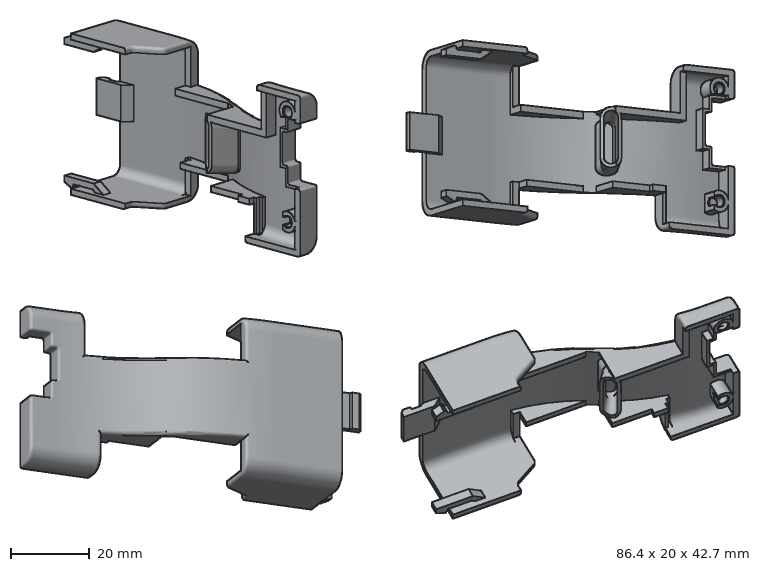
import cadquery as cq
import math

LENGTH_END = 86.4
WIDTH = 42.7
SHELL_LEFT = 6.2
LEFT_DEPTH = 20.0
RIGHT_DEPTH = 6.65
CURVE_START = 25.05
CURVE_END = 78.6

BACK_THICKNESS = 2.0
SIDE_WALL = 1.6
END_WALL = 1.8
LONG_EDGE_RADIUS = 4.2
INNER_EDGE_RADIUS = LONG_EDGE_RADIUS - SIDE_WALL
EDGE_ROUND = 0.9

LEFT_BOX_END = 32.6
NECK_BOTTOM = 9.6
NECK_TOP = 30.4
RIGHT_BOX_LOW_START = 67.1
RIGHT_BOX_HIGH_START = 71.3
MID_Z = WIDTH / 2
LIP_INNER_X = LEFT_BOX_END - END_WALL
LOW_END_INNER_X = RIGHT_BOX_LOW_START + END_WALL
HIGH_END_INNER_X = RIGHT_BOX_HIGH_START + END_WALL
NECK_INNER_LOW = NECK_BOTTOM + SIDE_WALL
NECK_INNER_HIGH = NECK_TOP - END_WALL

FRONT_STEP = 1.55
LEFT_NECK_FRONT = 12.5
NECK_GAP_START = 49.2
NECK_GAP_END = 52.3
BEVEL_FRONT = 5.35
BEVEL_HEIGHT = 1.2
BEVEL_LENGTH = 2.2
LOW_WALL_FRONT = 3.0
LOW_WALL_STEP_X = 63.2
LEFT_LIP_FRONT = 16.3
LOW_END_FRONT = 3.2
LOW_END_REBATE_X = 68.0
LOW_END_REBATE = 1.3

SLOPE_START = 25.3
SLOPE_START_Y = 2.5
SLOPE_END_Y = 6.8
SLOPE_END_ROUND = 1.3

NOTCH_LOW = 17.8
NOTCH_HIGH = 35.2
NOTCH_SHALLOW_X = 80.6
NOTCH_DEEP_X = 78.7
NOTCH_DEEP_LOW = 22.6
NOTCH_DEEP_HIGH = 31.45
NOTCH_WALL = 0.8
NOTCH_ROUND = 0.6

BOSS_X = 81.9
BOSS_LOW_Z = 8.5
BOSS_HIGH_Z = 37.5
BOSS_RADIUS = 2.8
BOSS_BACK = RIGHT_DEPTH - BACK_THICKNESS / 2
BOSS_HOLE_RADIUS = 1.4
BOSS_HOLE_DEPTH = 3.45
BOSS_CHAMFER = 0.3
BOSS_OPEN_X = 80.3
BOSS_SLOT = 2.1
BOSS_SLOT_DEPTH = 2.6

DUCT_LEFT = 51.9
DUCT_WIDTH = 5.1
DUCT_LENGTH = 14.6
DUCT_LOW_Z = 13.9
DUCT_BEND_Y = 8.2
DUCT_BACK_Y = 11.2
MOUTH_LEFT = 49.2
MOUTH_LEFT_Y = 4.2
MOUTH_WIDTH = 5.6
MOUTH_LENGTH = 15.6
MOUTH_LOW_Z = 14.6
MOUTH_TILT = 40.0
DUCT_WALL = 0.95

TONGUE_LOW = 16.4
TONGUE_HIGH = 26.1
TONGUE_FRONT = 15.9
TONGUE_BACK = 17.45
TONGUE_HOOK = 0.8
TONGUE_HOOK_END = 2.7
TONGUE_NOTCH_START = 3.0
TONGUE_NOTCH_END = 5.35
TONGUE_FLAT_END = 8.6
TONGUE_END = 11.0

ARM_FRONT = 1.6
ARM_BACK = 4.2
ARM_INNER = 4.0
ARM_OUTER = 2.3
BARB_PEAK = 1.3
ARM_TIP = 2.3
BARB_PEAK_START = 4.6
BARB_PEAK_END = 5.1
BARB_END = 5.6
ARM_GAP_END = 12.35
ARM_FLARE_START = 12.6
ARM_ROOT = 13.05
ARM_FLARE_END = 16.1

FAR = 172.8


def box(x0, x1, y0, y1, z0, z1):
    """Block between two corners."""
    return cq.Workplane("XY").box(x1 - x0, y1 - y0, z1 - z0, centered=False).translate((x0, y0, z0))


def plan_prism(points, y0, y1):
    """Prism on an outline of (x, z) points, running from y0 to y1."""
    return cq.Workplane("XZ").polyline(points).close().extrude(-(y1 - y0)).translate((0, y0, 0))


def side_body(inset, z0, z1):
    """Solid under the S-curved back, lowered by inset: two equal tangent arcs joined mid-slope."""
    run = (CURVE_END - CURVE_START) / 2
    drop = (LEFT_DEPTH - RIGHT_DEPTH) / 2
    radius = (run**2 + drop**2) / (2 * drop)
    half_angle = math.asin(run / radius) / 2
    dx = radius * math.sin(half_angle)
    dy = radius * (1 - math.cos(half_angle))
    high = LEFT_DEPTH - inset
    low = RIGHT_DEPTH - inset
    middle = (CURVE_START + run, high - drop)
    return (
        cq.Workplane("XY")
        .moveTo(SHELL_LEFT, 0)
        .lineTo(SHELL_LEFT, high)
        .lineTo(CURVE_START, high)
        .threePointArc((CURVE_START + dx, high - dy), middle)
        .threePointArc((CURVE_END - dx, low + dy), (CURVE_END, low))
        .lineTo(LENGTH_END, low)
        .lineTo(LENGTH_END, 0)
        .close()
        .extrude(z1 - z0)
        .translate((0, 0, z0))
    )


def notch_points(grow):
    """Outline of the stepped notch in the right end, enlarged by grow."""
    shallow = NOTCH_SHALLOW_X - grow
    deep = NOTCH_DEEP_X - grow
    return [
        (FAR, NOTCH_LOW - grow),
        (shallow, NOTCH_LOW - grow),
        (shallow, NOTCH_DEEP_LOW - grow),
        (deep, NOTCH_DEEP_LOW - grow),
        (deep, NOTCH_DEEP_HIGH + grow),
        (shallow, NOTCH_DEEP_HIGH + grow),
        (shallow, NOTCH_HIGH + grow),
        (FAR, NOTCH_HIGH + grow),
    ]


def round_long_edges(block, faces, radius):
    """Rounds the edges where the back meets the given side faces."""
    return block.faces(faces).edges("not(|Y or <Y)").fillet(radius)


def left_block():
    """Solid left box, with sloped side wall ends and a rounded outer edge around its right end."""
    block = round_long_edges(side_body(0, 0, WIDTH), "<Z or >Z", LONG_EDGE_RADIUS)
    beyond_end = (
        cq.Workplane("XY")
        .polyline([
            (SLOPE_START, -0.9),
            (SLOPE_START, SLOPE_START_Y),
            (LEFT_BOX_END, SLOPE_END_Y),
            (LEFT_BOX_END, FAR),
            (FAR, FAR),
            (FAR, -0.9),
        ])
        .close()
        .extrude(WIDTH)
    )
    slope_ends = cq.selectors.BoxSelector(
        (SLOPE_START - 0.9, 0, -0.9), (LEFT_BOX_END + 0.9, LEFT_DEPTH, WIDTH + 0.9)
    )
    beyond_end = beyond_end.edges("|Z").edges(slope_ends).fillet(SLOPE_END_ROUND)
    return block.cut(beyond_end).faces(">X").edges("not <Y").fillet(EDGE_ROUND)


def right_block(start, z0, z1, outer_face, inner_face):
    """Part of the solid right box from z0 to z1, rounded at its outer side and both ends."""
    block = round_long_edges(side_body(0, z0, z1), outer_face, LONG_EDGE_RADIUS)
    block = block.intersect(box(start, LENGTH_END, 0, FAR, z0, z1))
    return block.faces("<X or >X").edges(f"not(<Y or {inner_face})").fillet(EDGE_ROUND)


def neck_block():
    """Solid neck joining both boxes."""
    block = side_body(0, NECK_BOTTOM, NECK_TOP)
    block = block.intersect(box(LIP_INNER_X, HIGH_END_INNER_X, 0, FAR, 0, WIDTH))
    return round_long_edges(block, "<Z or >Z", EDGE_ROUND)


def cavity():
    """Space inside the cover, leaving the walls around the boxes, the neck and the notch."""
    inner = side_body(BACK_THICKNESS, SIDE_WALL, WIDTH - SIDE_WALL)
    inner = round_long_edges(inner, "<Z or >Z", INNER_EDGE_RADIUS)
    right_inner_x = LENGTH_END - END_WALL
    regions = box(0, LIP_INNER_X, -0.9, FAR, 0, WIDTH)
    regions = regions.union(box(0, right_inner_x, -0.9, FAR, NECK_INNER_LOW, NECK_INNER_HIGH))
    regions = regions.union(box(LOW_END_INNER_X, right_inner_x, -0.9, FAR, 0, MID_Z))
    regions = regions.union(box(HIGH_END_INNER_X, right_inner_x, -0.9, FAR, MID_Z, WIDTH))
    regions = regions.cut(plan_prism(notch_points(NOTCH_WALL), FRONT_STEP, FAR))
    return inner.intersect(regions)


def wall_fronts():
    """Material removed in front of the walls that stop short of the front plane."""
    side_low = SIDE_WALL
    side_high = WIDTH - SIDE_WALL
    rebate_front = LOW_END_FRONT + LOW_END_REBATE
    cuts = [
        box(LIP_INNER_X, LEFT_BOX_END, -0.9, LEFT_LIP_FRONT, side_low, NECK_INNER_LOW),
        box(LIP_INNER_X, LEFT_BOX_END, -0.9, LEFT_LIP_FRONT, NECK_TOP, side_high),
        box(LIP_INNER_X, NECK_GAP_START, -0.9, LEFT_NECK_FRONT, NECK_BOTTOM, NECK_TOP),
        box(NECK_GAP_END, LOW_WALL_STEP_X, -0.9, LOW_WALL_FRONT, NECK_BOTTOM, MID_Z),
        box(LOW_WALL_STEP_X, LOW_END_INNER_X, -0.9, FRONT_STEP, NECK_BOTTOM, MID_Z),
        box(NECK_GAP_END, HIGH_END_INNER_X, -0.9, FRONT_STEP, MID_Z, side_high),
        box(RIGHT_BOX_LOW_START, LOW_END_INNER_X, -0.9, LOW_END_FRONT, side_low, NECK_INNER_LOW),
        box(LOW_END_REBATE_X, LOW_END_INNER_X, -0.9, rebate_front, side_low, NECK_INNER_LOW),
    ]
    bevel = plan_prism(
        [
            (NECK_GAP_END, NECK_INNER_HIGH),
            (NECK_GAP_END, NECK_INNER_HIGH + BEVEL_HEIGHT),
            (NECK_GAP_END + BEVEL_LENGTH, NECK_INNER_HIGH),
        ],
        BEVEL_FRONT,
        FAR,
    )
    cuts.append(bevel.intersect(side_body(BACK_THICKNESS, 0, WIDTH)))
    gap = box(NECK_GAP_START, NECK_GAP_END, -0.9, FAR, NECK_BOTTOM, NECK_TOP)
    cuts.append(gap.intersect(side_body(BACK_THICKNESS, 0, WIDTH)))
    return cuts


def shell():
    """Open cover with all of its walls."""
    body = left_block().union(neck_block())
    body = body.union(right_block(RIGHT_BOX_LOW_START, 0, MID_Z, "<Z", ">Z"))
    body = body.union(right_block(RIGHT_BOX_HIGH_START, MID_Z, WIDTH, ">Z", "<Z"))
    body = body.cut(cavity())
    for cut in wall_fronts():
        body = body.cut(cut)
    return body


def tongue():
    """Hooked locating tongue under the back at the left end."""
    under_back = LEFT_DEPTH - BACK_THICKNESS
    return (
        cq.Workplane("XY")
        .polyline([
            (0, TONGUE_FRONT),
            (TONGUE_FLAT_END, TONGUE_FRONT),
            (TONGUE_END, under_back),
            (TONGUE_END, under_back + TONGUE_HOOK),
            (SHELL_LEFT, under_back + TONGUE_HOOK),
            (SHELL_LEFT, under_back),
            (TONGUE_NOTCH_END, TONGUE_BACK),
            (TONGUE_NOTCH_START, TONGUE_BACK),
            (TONGUE_HOOK_END, TONGUE_BACK + TONGUE_HOOK),
            (TONGUE_HOOK, TONGUE_BACK + TONGUE_HOOK),
            (0, TONGUE_BACK),
        ])
        .close()
        .extrude(TONGUE_HIGH - TONGUE_LOW)
        .translate((0, 0, TONGUE_LOW))
    )


def snap_arm():
    """Barbed arm standing off the lower side wall; its root flares into the wall."""
    embedded = SIDE_WALL / 2
    points = [
        (ARM_TIP, ARM_INNER),
        (ARM_FLARE_START, ARM_INNER),
        (ARM_FLARE_END, SIDE_WALL),
        (ARM_FLARE_END, embedded),
        (ARM_ROOT, embedded),
        (ARM_ROOT, SIDE_WALL),
        (ARM_GAP_END, ARM_OUTER),
        (BARB_END, ARM_OUTER),
        (BARB_PEAK_END, BARB_PEAK),
        (BARB_PEAK_START, BARB_PEAK),
        (ARM_TIP, ARM_OUTER),
    ]
    return plan_prism(points, ARM_FRONT, ARM_BACK)


def boss(z):
    """Solid screw boss standing on the back."""
    return cq.Workplane("XZ").center(BOSS_X, z).circle(BOSS_RADIUS).extrude(-BOSS_BACK)


def boss_hole(z):
    """Blind round screw hole with a chamfered mouth."""
    hole = cq.Workplane("XZ").center(BOSS_X, z).circle(BOSS_HOLE_RADIUS).extrude(-BOSS_HOLE_DEPTH)
    mouth = cq.Solid.makeCone(
        BOSS_HOLE_RADIUS + BOSS_CHAMFER,
        BOSS_HOLE_RADIUS,
        BOSS_CHAMFER,
        pnt=cq.Vector(BOSS_X, 0, z),
        dir=cq.Vector(0, 1, 0),
    )
    return hole.union(cq.Workplane(mouth))


def bosses():
    """Lower boss cut flat and slotted at its left and upper boss tied to the right end wall."""
    slot_low = BOSS_LOW_Z - BOSS_SLOT / 2
    slot_high = BOSS_LOW_Z + BOSS_SLOT / 2
    lower = boss(BOSS_LOW_Z).cut(box(0, BOSS_OPEN_X, -0.9, FAR, 0, MID_Z))
    lower = lower.cut(box(0, BOSS_X, -0.9, BOSS_SLOT_DEPTH, slot_low, slot_high))
    web = box(BOSS_X, LENGTH_END - END_WALL / 2, 0, BOSS_BACK, NOTCH_HIGH, BOSS_HIGH_Z)
    upper = boss(BOSS_HIGH_Z).union(web).cut(plan_prism(notch_points(NOTCH_WALL), 0, FAR))
    return lower.union(upper)


def stadium_wire(plane, width, length):
    """Closed slot outline, long along Z and centred on the plane."""
    return cq.Workplane(plane).slot2D(length, width, 90).wires().val()


def duct_body(inset):
    """Duct shape shrunk all round by inset: straight at the back, then slanted to the mouth."""
    tilt = math.radians(MOUTH_TILT)
    along_mouth = cq.Vector(math.cos(tilt), -math.sin(tilt), 0)
    into_duct = cq.Vector(-math.sin(tilt), -math.cos(tilt), 0)
    bend_centre = cq.Vector(DUCT_LEFT + DUCT_WIDTH / 2, DUCT_BEND_Y, DUCT_LOW_Z + DUCT_LENGTH / 2)
    mouth_centre = cq.Vector(MOUTH_LEFT, MOUTH_LEFT_Y, MOUTH_LOW_Z + MOUTH_LENGTH / 2)
    mouth_centre = mouth_centre + along_mouth * (MOUTH_WIDTH / 2)
    bend_plane = cq.Plane(bend_centre, xDir=(1, 0, 0), normal=(0, -1, 0))
    mouth_plane = cq.Plane(mouth_centre, xDir=along_mouth, normal=into_duct)
    bend = stadium_wire(bend_plane, DUCT_WIDTH - 2 * inset, DUCT_LENGTH - 2 * inset)
    mouth = stadium_wire(mouth_plane, MOUTH_WIDTH - 2 * inset, MOUTH_LENGTH - 2 * inset)
    slanted = cq.Workplane(cq.Solid.makeLoft([bend, mouth], True))
    straight = (
        cq.Workplane(bend_plane)
        .slot2D(DUCT_LENGTH - 2 * inset, DUCT_WIDTH - 2 * inset, 90)
        .extrude(DUCT_BEND_Y - DUCT_BACK_Y)
    )
    return slanted.union(straight)


def duct():
    """Duct wall, trimmed level with the neck front and kept inside the back."""
    limit = side_body(BACK_THICKNESS / 2, 0, WIDTH).intersect(box(0, LENGTH_END, FRONT_STEP, FAR, 0, WIDTH))
    return duct_body(0).intersect(limit)


def duct_bore():
    """Blind space inside the duct."""
    return duct_body(DUCT_WALL).intersect(side_body(BACK_THICKNESS, 0, WIDTH))


def notch():
    """Stepped notch through the right end."""
    prism = plan_prism(notch_points(0), -0.9, FAR)
    return prism.edges("|Y").edges("not >X").fillet(NOTCH_ROUND)


lower_arm = snap_arm()
upper_arm = lower_arm.mirror("XY", (0, 0, MID_Z))

result = shell()
for added in (tongue(), lower_arm, upper_arm, bosses(), duct()):
    result = result.union(added)
for removed in (duct_bore(), boss_hole(BOSS_LOW_Z), boss_hole(BOSS_HIGH_Z), notch()):
    result = result.cut(removed)

notch_lips = cq.selectors.BoxSelector((LENGTH_END - 0.9, -0.9, NOTCH_LOW - 0.9), (FAR, FAR, NOTCH_HIGH + 0.9))
result = result.edges("|Y").edges(notch_lips).fillet(NOTCH_ROUND)